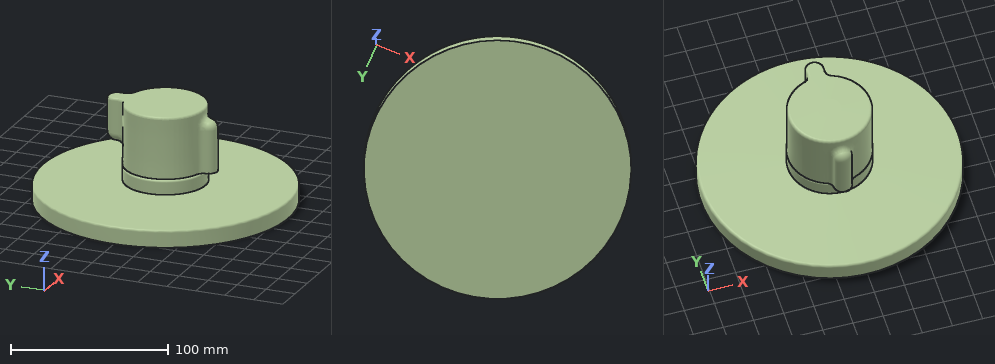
import cadquery as cq
import math

PLATE_RADIUS = 85.0
PLATE_EDGE_HEIGHT = 12.2
PLATE_SLOPE = math.radians(1.6)
PLATE_FILLET = 2.0

COLLAR_RADIUS = 27.5
COLLAR_TOP = 23.6
COLLAR_FILLET = 1.5
NECK_RADIUS = 22.0

KNOB_RADIUS = COLLAR_RADIUS
KNOB_WAIST_DEPTH = 0.45
KNOB_BOTTOM = 24.4
KNOB_TOP = 66.97
BLANK_ALLOWANCE = 2.0
BLANK_TOP = KNOB_TOP + BLANK_ALLOWANCE
KNOB_FLAT_RADIUS = 7.5
KNOB_TOP_SLOPE = math.radians(1.0)
KNOB_TOP_FILLET = 2.0

GRIP_RADIUS = 6.0
GRIP_ROOT_FILLET = 5.0
UPPER_GRIP_TIP = 39.7
UPPER_GRIP_BOTTOM = 36.0
LOWER_GRIP_TIP = 35.7
LOWER_GRIP_TOP = 59.7

SEAM_MARGIN = 1.0


def knob_top_height(radius):
    """Height of the conical knob top at a given distance from the axis."""
    return KNOB_TOP - (radius - KNOB_FLAT_RADIUS) * math.tan(KNOB_TOP_SLOPE)


def revolve_about_z(profile):
    """Turn an open XZ outline that starts and ends on the axis into a solid."""
    return profile.close().revolve(360, (0, 0, 0), (0, 1, 0))


def make_plate():
    collar_foot = PLATE_EDGE_HEIGHT + (PLATE_RADIUS - COLLAR_RADIUS) * math.tan(PLATE_SLOPE)
    plate = revolve_about_z(
        cq.Workplane("XZ")
        .lineTo(PLATE_RADIUS, 0)
        .lineTo(PLATE_RADIUS, PLATE_EDGE_HEIGHT)
        .lineTo(COLLAR_RADIUS, collar_foot)
        .lineTo(0, collar_foot)
    )
    rim = cq.selectors.NearestToPointSelector((0, 0, PLATE_EDGE_HEIGHT))
    return plate.edges("%CIRCLE").edges(rim).fillet(PLATE_FILLET)


def make_collar():
    collar = cq.Workplane("XY").circle(COLLAR_RADIUS).extrude(COLLAR_TOP)
    return collar.faces(">Z").edges().fillet(COLLAR_FILLET)


def make_neck():
    return cq.Workplane("XY").circle(NECK_RADIUS).extrude(KNOB_BOTTOM)


def make_knob_blank():
    """Waisted body of the knob, left overlong at the top."""
    waist = (KNOB_RADIUS - KNOB_WAIST_DEPTH, (KNOB_BOTTOM + BLANK_TOP) / 2)
    return revolve_about_z(
        cq.Workplane("XZ")
        .moveTo(0, KNOB_BOTTOM)
        .lineTo(KNOB_RADIUS, KNOB_BOTTOM)
        .threePointArc(waist, (KNOB_RADIUS, BLANK_TOP))
        .lineTo(0, BLANK_TOP)
    )


def make_grip(tip, height):
    """Fin reaching along +Y from the axis, flat at z = 0 and rounded at its upper end."""
    centre = tip - GRIP_RADIUS
    crown = height - GRIP_RADIUS
    column = cq.Workplane("XY").center(0, centre).circle(GRIP_RADIUS).extrude(crown)
    ball = cq.Workplane("XY", (0, centre, crown)).sphere(GRIP_RADIUS)
    web = (
        cq.Workplane("XZ")
        .moveTo(-GRIP_RADIUS, 0)
        .lineTo(GRIP_RADIUS, 0)
        .lineTo(GRIP_RADIUS, crown)
        .threePointArc((0, height), (-GRIP_RADIUS, crown))
        .close()
        .extrude(-centre)
    )
    return column.union(ball).union(web)


def make_upper_grip():
    """Grip on the +Y side, rounded below and overlong at the top."""
    grip = make_grip(UPPER_GRIP_TIP, BLANK_TOP - UPPER_GRIP_BOTTOM)
    return grip.mirror("XY").translate((0, 0, BLANK_TOP))


def make_lower_grip():
    """Grip on the -Y side, standing level with the knob's underside."""
    grip = make_grip(LOWER_GRIP_TIP, LOWER_GRIP_TOP - KNOB_BOTTOM)
    return grip.mirror("XZ").translate((0, 0, KNOB_BOTTOM))


def fillet_grip_root(knob, side):
    """Round the seam between the knob body and the grip on the +Y (1) or -Y (-1) side."""
    inner = KNOB_RADIUS - 2 * SEAM_MARGIN
    half_width = GRIP_RADIUS + SEAM_MARGIN
    seam = cq.selectors.BoxSelector(
        (-half_width, side * inner, KNOB_BOTTOM + SEAM_MARGIN),
        (half_width, side * KNOB_RADIUS, knob_top_height(KNOB_RADIUS) - SEAM_MARGIN),
    )
    return knob.edges(seam).fillet(GRIP_ROOT_FILLET)


def trim_knob_top(knob):
    """Cut an overlong knob down to its conical top with the flat centre."""
    reach = KNOB_RADIUS + UPPER_GRIP_TIP
    kept = revolve_about_z(
        cq.Workplane("XZ")
        .lineTo(reach, 0)
        .lineTo(reach, knob_top_height(reach))
        .lineTo(KNOB_FLAT_RADIUS, KNOB_TOP)
        .lineTo(0, KNOB_TOP)
    )
    return knob.intersect(kept)


def fillet_knob_top(knob):
    """Round the whole top outline, which runs on smoothly from the upper grip's tip."""
    tip = (0, UPPER_GRIP_TIP, knob_top_height(UPPER_GRIP_TIP))
    return knob.edges(cq.selectors.NearestToPointSelector(tip)).fillet(KNOB_TOP_FILLET)


def make_knob():
    knob = make_knob_blank().union(make_upper_grip())
    knob = trim_knob_top(fillet_grip_root(knob, 1))
    knob = fillet_knob_top(knob)
    knob = knob.union(make_lower_grip())
    return fillet_grip_root(knob, -1)


result = make_plate().union(make_collar()).union(make_neck()).union(make_knob())